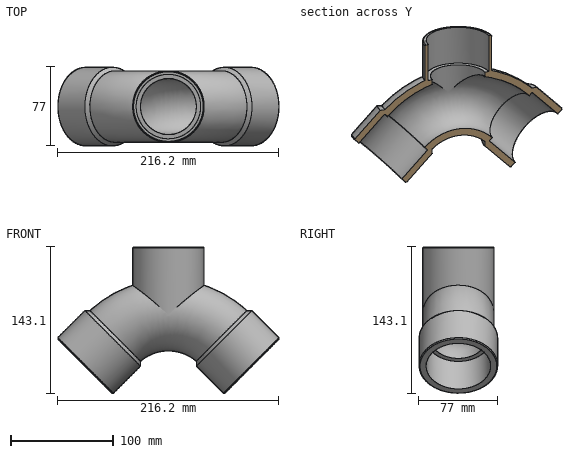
import cadquery as cq
import math

pipe_diameter = 70.0
collar_diameter = 77.0
socket_diameter = 63.0
bore_diameter = 54.6

half_bend = math.radians(45.0)
bend_radius = 77.0
outlet_length = 66.9
leg_length = 38.4
socket_depth = 38.0
rim_chamfer = 1.0

collar_step = (collar_diameter - pipe_diameter) / 2
collar_length = leg_length + collar_step

bend_end_x = bend_radius * math.sin(half_bend)
bend_end_z = bend_radius * (math.cos(half_bend) - 1)

outlet_rim = cq.Plane.XY(origin=(0, 0, outlet_length))


def leg_plane(side, distance):
    """Plane across a leg, facing outward, at a distance beyond the end of the bend."""
    outward_x = side * math.cos(half_bend)
    outward_z = -math.sin(half_bend)
    centre = (side * bend_end_x + distance * outward_x, 0, bend_end_z + distance * outward_z)
    return cq.Plane(origin=centre, xDir=(0, 1, 0), normal=(outward_x, 0, outward_z))


def bend(diameter):
    """Round bar following the bend centreline from end to end."""
    left_end = (-bend_end_x, bend_end_z)
    right_end = (bend_end_x, bend_end_z)
    centreline = cq.Workplane("XZ").moveTo(*left_end).threePointArc((0, 0), right_end)
    return cq.Workplane(leg_plane(-1, 0)).circle(diameter / 2).sweep(centreline)


def bar_from_rim(rim, diameter, depth):
    """Round bar running inward from a rim plane."""
    return cq.Workplane(rim).circle(diameter / 2).extrude(-depth)


def outlet():
    """Upright pipe from the bend centreline to its chamfered rim."""
    return bar_from_rim(outlet_rim, pipe_diameter, outlet_length).faces(">Z").chamfer(rim_chamfer)


def collar(side):
    """Thick leg end: a cone up from the pipe, then a cylinder with a chamfered rim."""
    blank = bar_from_rim(cq.Plane.XY(), collar_diameter, collar_length)
    blank = blank.faces("<Z").chamfer(collar_step)
    blank = blank.faces(">Z").chamfer(rim_chamfer)
    return blank.val().moved(cq.Location(leg_plane(side, leg_length)))


def port(rim, bore_depth):
    """Hollow of one branch: a pipe socket at the rim and the narrower bore behind it."""
    socket = bar_from_rim(rim, socket_diameter, socket_depth)
    return socket.union(bar_from_rim(rim, bore_diameter, bore_depth))


body = bend(pipe_diameter).union(outlet())
passage = bend(bore_diameter).union(port(outlet_rim, outlet_length))
for side in (-1, 1):
    body = body.union(collar(side))
    passage = passage.union(port(leg_plane(side, leg_length), leg_length))

result = body.cut(passage)